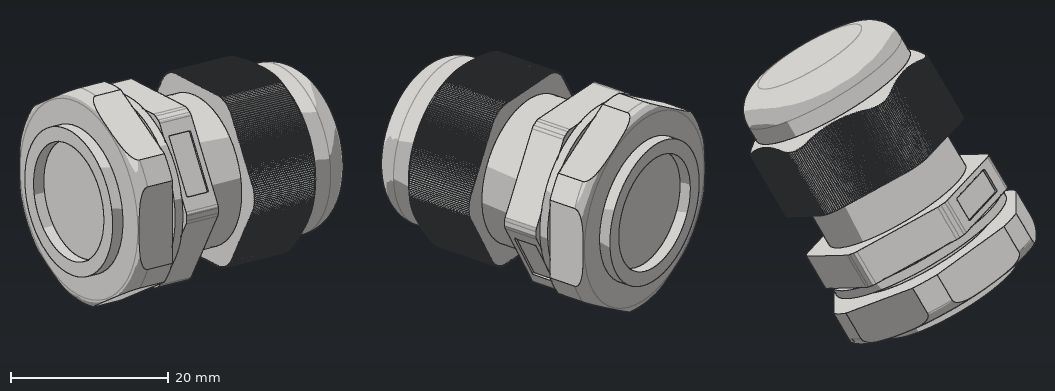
import cadquery as cq
import math


nut_front = 1.6
nut_back = 6.8
flange_front = 7.8
body_hex_front = 9.0
body_hex_back = 13.9
cap_front = 19.8
collar_front = 30.4
gland_length = 36.4

thread_diameter = 19.6
socket_diameter = 15.7
flange_diameter = 25.0
neck_diameter = 20.1
collar_diameter = 22.6

socket_depth = 1.6
dome_radius = 3.7

nut_across_flats = 26.7
nut_corner_diameter = 28.98
nut_edge_radius = 1.35

body_across_flats = 23.7
body_corner_diameter = 26.7
body_corner_radius = 1.0
label_length = 8.15
label_width = 3.35
label_depth = 0.3
label_corner_radius = 0.2
label_face_angles = (30, 210)

cap_across_flats = 23.5
cap_corner_radius = 3.8
cap_chamfer_width = 1.75
cap_chamfer_length = 1.4
knurl_count = 300
knurl_depth = 0.15

HEX_SIDES = 6
HEX_STEP = 360 / HEX_SIDES


def section_plane(y):
    """Workplane across the axis at station y, with local x = X and local y = Z."""
    return cq.Workplane("XZ", origin=(0, y, 0))


def cylinder(diameter, y_start, y_end):
    return section_plane(y_start).circle(diameter / 2).extrude(y_start - y_end)


def hexagon(across_flats, y_start, y_end):
    """Hexagonal prism along Y with two of its corners on the X axis."""
    across_corners = across_flats / math.cos(math.pi / HEX_SIDES)
    return section_plane(y_start).polygon(HEX_SIDES, across_corners).extrude(y_start - y_end)


def turn(shape, angle):
    """Turn a shape about the gland axis, from +X towards +Z."""
    return shape.rotate((0, 0, 0), (0, 1, 0), -angle)


def make_locknut():
    """Hexagon with corners turned down and the front rim rounded over."""
    prism = turn(hexagon(nut_across_flats, nut_front, nut_back), HEX_STEP / 2)
    rounded_disc = cylinder(nut_corner_diameter, nut_front, nut_back)
    rounded_disc = rounded_disc.faces("<Y").edges().fillet(nut_edge_radius)
    return prism.intersect(rounded_disc)


def make_body_hexagon():
    """Wrench hexagon with softened corners and two recessed label panels."""
    body = hexagon(body_across_flats, body_hex_front, body_hex_back)
    body = body.intersect(cylinder(body_corner_diameter, body_hex_front, body_hex_back))
    body = body.edges("|Y").fillet(body_corner_radius)

    label_y = (body_hex_front + body_hex_back) / 2
    label_floor = body_across_flats / 2 - label_depth
    recess = cq.Workplane("YZ", origin=(label_floor, label_y, 0)).rect(label_width, label_length)
    recess = recess.extrude(2 * label_depth).edges("|X").fillet(label_corner_radius)
    for angle in label_face_angles:
        body = body.cut(turn(recess, angle))
    return body


def cap_radius(angle):
    """Radius of the cap's round-cornered hexagon at an angle in degrees from +X."""
    flat_distance = cap_across_flats / 2
    arc_distance = flat_distance - cap_corner_radius
    from_flat_middle = math.radians(abs(angle % HEX_STEP - HEX_STEP / 2))
    half_step = math.radians(HEX_STEP / 2)
    if flat_distance * math.tan(from_flat_middle) <= arc_distance * math.tan(half_step):
        return flat_distance / math.cos(from_flat_middle)
    from_corner = half_step - from_flat_middle
    arc_center = arc_distance / math.cos(half_step)
    across = arc_center * math.sin(from_corner)
    return arc_center * math.cos(from_corner) + math.sqrt(cap_corner_radius**2 - across**2)


def make_knurled_cap():
    """Hexagonal cap with fine V-shaped knurls and a conical back shoulder."""
    outline = []
    for i in range(2 * knurl_count):
        turn_angle = math.pi * i / knurl_count
        root_drop = knurl_depth * (i % 2)
        radius = cap_radius(math.degrees(turn_angle)) - root_drop
        outline.append((radius * math.cos(turn_angle), radius * math.sin(turn_angle)))
    cap = section_plane(cap_front).polyline(outline).close().extrude(cap_front - collar_front)

    envelope = cylinder(collar_diameter + 2 * cap_chamfer_width, cap_front, collar_front)
    envelope = envelope.faces(">Y").edges().chamfer(cap_chamfer_length, cap_chamfer_width)
    return cap.intersect(envelope)


def make_dome():
    """Round collar behind the cap with its end rounded into a dome."""
    collar = cylinder(collar_diameter, cap_front, gland_length)
    return collar.faces(">Y").edges().fillet(dome_radius)


def make_turned_core():
    core = cylinder(thread_diameter, 0, body_hex_front)
    core = core.union(cylinder(flange_diameter, flange_front, body_hex_front))
    return core.union(cylinder(neck_diameter, body_hex_back, cap_front))


result = make_turned_core()
result = result.union(make_locknut())
result = result.union(make_body_hexagon())
result = result.union(make_knurled_cap().union(make_dome()))
result = result.cut(cylinder(socket_diameter, 0, socket_depth))